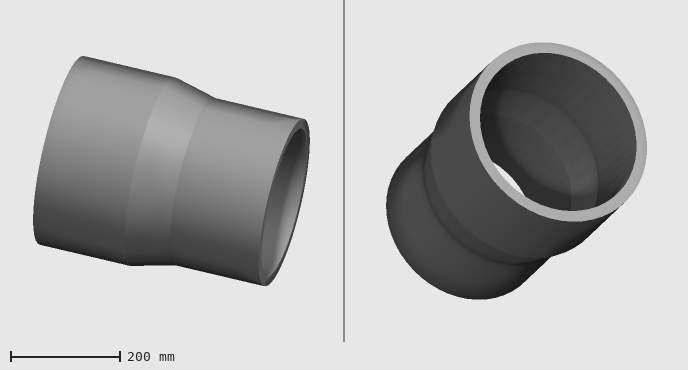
import cadquery as cq

total_length = 426.0
wide_length = 175.0
taper_length = 81.0

wide_outer_diameter = 355.0
wide_bore_diameter = 312.5
narrow_outer_diameter = 315.0
narrow_bore_diameter = 277.8

taper_start = wide_length
taper_end = wide_length + taper_length


def stepped_solid(wide_diameter, narrow_diameter):
    """Solid of revolution about X: wide cylinder, cone, narrow cylinder."""
    wide_radius = wide_diameter / 2
    narrow_radius = narrow_diameter / 2
    return (
        cq.Workplane("XY")
        .moveTo(0, 0)
        .lineTo(0, wide_radius)
        .lineTo(taper_start, wide_radius)
        .lineTo(taper_end, narrow_radius)
        .lineTo(total_length, narrow_radius)
        .lineTo(total_length, 0)
        .close()
        .revolve(360, (0, 0, 0), (1, 0, 0))
    )


body = stepped_solid(wide_outer_diameter, narrow_outer_diameter)
bore = stepped_solid(wide_bore_diameter, narrow_bore_diameter)

result = body.cut(bore)